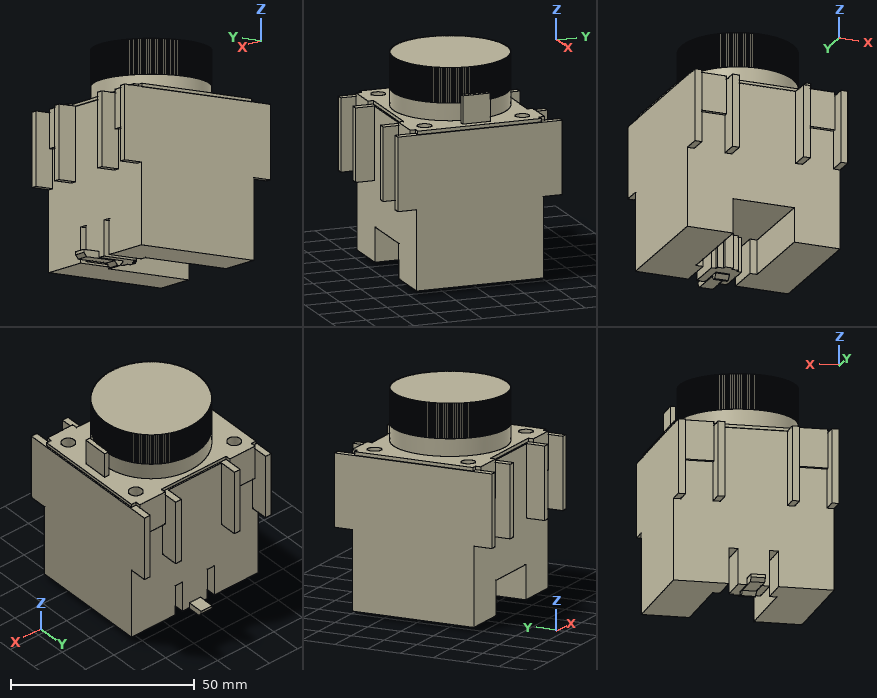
import cadquery as cq
import math

BODY_WIDTH = 45.0
BODY_DEPTH = 37.0
OVERALL_HEIGHT = 61.5
BODY_BOTTOM = 1.5
BODY_TOP = 45.5

RIB_SPAN = 48.0
RIB_THICKNESS = 2.0
RIB_BOTTOM = 24.5
INNER_RIB_EDGE_X = 11.45

DECK_TOP = 46.5
DECK_WIDTH = 44.15
DECK_DEPTH = 36.05
COVER_SPAN = 39.2
COVER_BOTTOM = 35.5
SCREW_HOLE_DIAMETER = 4.0
SCREW_HOLE_DEPTH = 5.0
SCREW_X = 17.45
SCREW_Y = 14.25

KNOB_DIAMETER = 33.0
GRIP_BOTTOM = 51.5
RIDGE_COUNT = 200
RIDGE_HEIGHT = 0.09
RIDGE_PITCH_SHARE = 0.3
RIDGE_START = -0.2

TAB_THICKNESS = 1.5
TAB_LENGTH = 8.0
TAB_X = 19.1
TAB_TOP = 54.5

CHANNEL_TOP = 11.5
CHANNEL_WIDTH = 17.95
REAR_OPENING_WIDTH = 13.85
REAR_WALL_Y = 8.0
GUIDE_WIDTHS = (8.85, 6.15, 2.45)
GUIDE_STEP = 1.0

LATCH_WIDTH = 4.0
LATCH_TOP = 3.2
LATCH_BOTTOM = 1.2
LATCH_REAR_Y = 23.5
LATCH_CHAMFER_LENGTH = 0.9
LATCH_CHAMFER_HEIGHT = 1.1
TOOTH_FRONT_Y = 10.6
TOOTH_REAR_Y = 13.35
TOOTH_TIP_FRONT_Y = 11.75
TOOTH_TIP_REAR_Y = 12.4


def block(x_min, x_max, y_min, y_max, z_min, z_max):
    """Box given by its limits along each axis."""
    size = (x_max - x_min, y_max - y_min, z_max - z_min)
    return cq.Workplane("XY").box(*size, centered=False).translate((x_min, y_min, z_min))


def centred_block(width, depth, z_min, z_max):
    """Box centred on X and Y."""
    return block(-width / 2, width / 2, -depth / 2, depth / 2, z_min, z_max)


def housing():
    """Main block with ribs, deck plate and terminal covers."""
    body = centred_block(BODY_WIDTH, BODY_DEPTH, BODY_BOTTOM, BODY_TOP)
    body = body.union(centred_block(DECK_WIDTH, DECK_DEPTH, BODY_TOP, DECK_TOP))
    outer_rib_inner_x = BODY_WIDTH / 2 - RIB_THICKNESS
    for rib_inner_x in (outer_rib_inner_x, INNER_RIB_EDGE_X - RIB_THICKNESS):
        for x_min in (rib_inner_x, -rib_inner_x - RIB_THICKNESS):
            x_max = x_min + RIB_THICKNESS
            body = body.union(block(x_min, x_max, -RIB_SPAN / 2, RIB_SPAN / 2, RIB_BOTTOM, BODY_TOP))
    for x_min, x_max in (
        (-outer_rib_inner_x, -INNER_RIB_EDGE_X),
        (INNER_RIB_EDGE_X, outer_rib_inner_x),
    ):
        cover = block(x_min, x_max, -COVER_SPAN / 2, COVER_SPAN / 2, COVER_BOTTOM, DECK_TOP)
        body = body.union(cover)
    return body


def screw_holes():
    """Blind access holes at the four corners of the deck."""
    return (
        cq.Workplane("XY", origin=(0, 0, DECK_TOP))
        .rect(2 * SCREW_X, 2 * SCREW_Y, forConstruction=True)
        .vertices()
        .circle(SCREW_HOLE_DIAMETER / 2)
        .extrude(-SCREW_HOLE_DEPTH)
    )


def polar_point(radius, angle):
    """Point at a radius and angle about the knob axis."""
    return (radius * math.cos(angle), radius * math.sin(angle))


def knob():
    """Round collar topped by a grip with fine square-edged grip ridges."""
    collar = cq.Workplane("XY", origin=(0, 0, DECK_TOP)).circle(KNOB_DIAMETER / 2)
    collar = collar.extrude(GRIP_BOTTOM - DECK_TOP)
    crest_radius = KNOB_DIAMETER / 2
    root_radius = crest_radius - RIDGE_HEIGHT
    pitch = 2 * math.pi / RIDGE_COUNT
    outline = []
    for index in range(RIDGE_COUNT):
        ridge_start = (index + RIDGE_START) * pitch
        ridge_end = ridge_start + RIDGE_PITCH_SHARE * pitch
        outline += [
            polar_point(root_radius, ridge_start),
            polar_point(crest_radius, ridge_start),
            polar_point(crest_radius, ridge_end),
            polar_point(root_radius, ridge_end),
        ]
    grip = cq.Workplane("XY", origin=(0, 0, GRIP_BOTTOM)).polyline(outline).close()
    grip = grip.extrude(OVERALL_HEIGHT - GRIP_BOTTOM)
    return collar.union(grip)


def tab():
    """Thin upright tab on the +X side of the knob."""
    return centred_block(TAB_THICKNESS, TAB_LENGTH, DECK_TOP, TAB_TOP).translate((TAB_X, 0, 0))


def channel():
    """Underside channel, leaving the stepped latch guide standing at the rear."""
    rear_y = BODY_DEPTH / 2
    cut = block(-CHANNEL_WIDTH / 2, CHANNEL_WIDTH / 2, -rear_y, REAR_WALL_Y, BODY_BOTTOM, CHANNEL_TOP)
    half_opening = REAR_OPENING_WIDTH / 2
    cut = cut.union(block(-half_opening, half_opening, REAR_WALL_Y, rear_y, BODY_BOTTOM, CHANNEL_TOP))
    for step, width in enumerate(GUIDE_WIDTHS):
        front_y = REAR_WALL_Y - step * GUIDE_STEP
        cut = cut.cut(block(-width / 2, width / 2, front_y, rear_y, BODY_BOTTOM, CHANNEL_TOP))
    return cut


def latch():
    """Flat latch bar with a bevelled rear end and a locking tooth below."""
    profile = [
        (TOOTH_FRONT_Y, LATCH_TOP),
        (LATCH_REAR_Y, LATCH_TOP),
        (LATCH_REAR_Y, LATCH_BOTTOM + LATCH_CHAMFER_HEIGHT),
        (LATCH_REAR_Y - LATCH_CHAMFER_LENGTH, LATCH_BOTTOM),
        (TOOTH_REAR_Y, LATCH_BOTTOM),
        (TOOTH_TIP_REAR_Y, 0),
        (TOOTH_TIP_FRONT_Y, 0),
        (TOOTH_FRONT_Y, LATCH_BOTTOM),
    ]
    return cq.Workplane("YZ").polyline(profile).close().extrude(LATCH_WIDTH / 2, both=True)


result = housing().cut(screw_holes()).cut(channel())
result = result.union(knob()).union(tab()).union(latch())